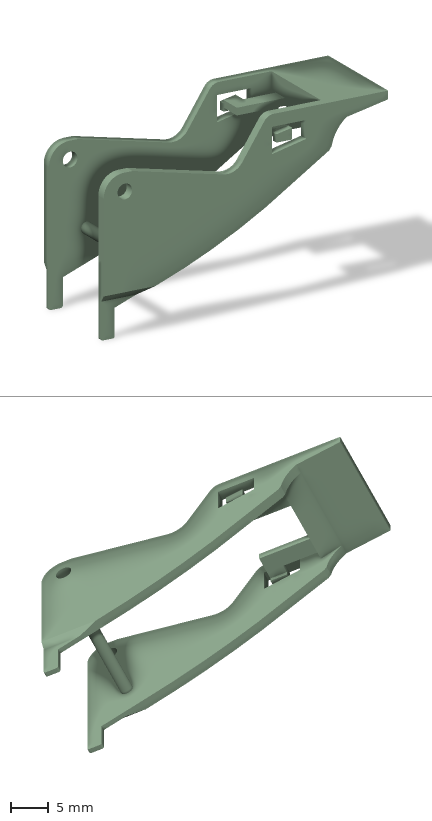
import cadquery as cq

WIDTH = 15.7
LENGTH = 43.9
HEIGHT = 27.5
WALL = 1.4
INNER_HALF = WIDTH / 2 - WALL

LIP_EDGE_Z = HEIGHT - 1.25
LIP_ROOT = (37.45, 24.95)
SCALLOP_MID = (36.05, 23.4)
SCALLOP_END = (35.15, 21.25)
HEEL = (34.8, 20.7)
BELLY_START = (25.02, 14.5)
BELLY_MID = (17.3, 10.35)
BELLY_END = (8.2, 6.6)
FOOT_LENGTH = 2.1
FOOT_TOP_Z = 4.3
FOOT_RADIUS = 0.25
PIVOT_TOP_Z = 23.45
PIVOT_RADIUS = 3.07
PIVOT_FLAT_END_Y = 4.45
VALLEY = (20.33, 19.95)
VALLEY_RADIUS = 2.75
SHOULDER_Y = 25.3
SHOULDER_RADIUS = 1.65

HOLE_Y, HOLE_Z = 3.25, 20.75
HOLE_DIAMETER = 2.25
ROD_Y, ROD_Z = 5.8, 10.62
ROD_DIAMETER = 1.75
FOOT_RECESS = 0.7
RECESS_TOP_Z = 6.5
RECESS_BOTTOM_Z = 5.55

BRIDGE_FRONT_Y = 34.35
BRIDGE_BOTTOM_Z = 23.7
WINDOW_FRONT_Y, WINDOW_REAR_Y = 25.95, 31.25
WINDOW_TOP_Z = 25.7
WINDOW_FRONT_Z, WINDOW_REAR_Z = 21.8, 23.0
ARM_TOP_Z = 24.8
ARM_GAP = 1.1
ARM_WIDTH = 2.4
LATCH_FRONT_Y, LATCH_REAR_Y = 26.9, 29.33
LUG_REACH = 0.95
LUG_BOTTOM_Z = 23.15
LUG_FRONT_TOP_Z = 24.3


def along_x(sketch, x_start, x_end):
    """Extrude a closed YZ outline between two X positions."""
    return sketch.extrude(x_end - x_start).translate((x_start, 0, 0))


def polygon(points):
    return cq.Workplane("YZ").polyline(points).close()


def box(x_range, y_range, z_range):
    size = [end - start for start, end in (x_range, y_range, z_range)]
    corner = (x_range[0], y_range[0], z_range[0])
    return cq.Workplane("XY").box(*size, centered=False).translate(corner)


def rounded(body, y, z, radius):
    """Round the X-direction edge that passes through (y, z)."""
    edge = cq.selectors.NearestToPointSelector((INNER_HALF + WALL / 2, y, z))
    return body.edges("|X").edges(edge).fillet(radius)


def make_wall():
    outline = (
        cq.Workplane("YZ")
        .moveTo(LENGTH, HEIGHT)
        .lineTo(LENGTH, LIP_EDGE_Z)
        .lineTo(*LIP_ROOT)
        .threePointArc(SCALLOP_MID, SCALLOP_END)
        .lineTo(*HEEL)
        .lineTo(*BELLY_START)
        .threePointArc(BELLY_MID, BELLY_END)
        .lineTo(FOOT_LENGTH, FOOT_TOP_Z)
        .lineTo(FOOT_LENGTH, 0)
        .lineTo(0, 0)
        .lineTo(0, PIVOT_TOP_Z)
        .lineTo(PIVOT_FLAT_END_Y, PIVOT_TOP_Z)
        .lineTo(*VALLEY)
        .lineTo(SHOULDER_Y, HEIGHT)
        .close()
    )
    wall = along_x(outline, INNER_HALF, WIDTH / 2)
    wall = rounded(wall, 0, PIVOT_TOP_Z, PIVOT_RADIUS)
    wall = rounded(wall, *VALLEY, VALLEY_RADIUS)
    wall = rounded(wall, SHOULDER_Y, HEIGHT, SHOULDER_RADIUS)
    for foot_y in (0, FOOT_LENGTH):
        wall = rounded(wall, foot_y, 0, FOOT_RADIUS)

    hole = cq.Workplane("YZ").center(HOLE_Y, HOLE_Z).circle(HOLE_DIAMETER / 2)
    window = polygon([
        (WINDOW_FRONT_Y, WINDOW_TOP_Z),
        (WINDOW_REAR_Y, WINDOW_TOP_Z),
        (WINDOW_REAR_Y, WINDOW_REAR_Z),
        (WINDOW_FRONT_Y, WINDOW_FRONT_Z),
    ])
    for opening in (hole, window):
        wall = wall.cut(along_x(opening, INNER_HALF, WIDTH / 2))

    recess_x = WIDTH / 2 - FOOT_RECESS
    recess = (
        cq.Workplane("XZ")
        .polyline([
            (WIDTH / 2, RECESS_TOP_Z),
            (recess_x, RECESS_BOTTOM_Z),
            (recess_x, 0),
            (WIDTH / 2, 0),
        ])
        .close()
        .extrude(-LENGTH)
    )
    return wall.cut(recess)


def make_latch():
    """Arm from the bridge, turned outward into a lug inside the window."""
    arm_outer = INNER_HALF - ARM_GAP
    arm_inner = arm_outer - ARM_WIDTH
    arm_z = (BRIDGE_BOTTOM_Z, ARM_TOP_Z)
    arm = box((arm_inner, arm_outer), (LATCH_FRONT_Y, BRIDGE_FRONT_Y), arm_z)
    toe = box((arm_inner, INNER_HALF), (LATCH_FRONT_Y, LATCH_REAR_Y), arm_z)
    lug = polygon([
        (LATCH_FRONT_Y, LUG_BOTTOM_Z),
        (LATCH_REAR_Y, LUG_BOTTOM_Z),
        (LATCH_REAR_Y, ARM_TOP_Z),
        (LATCH_FRONT_Y, LUG_FRONT_TOP_Z),
    ])
    return arm.union(toe).union(along_x(lug, INNER_HALF, INNER_HALF + LUG_REACH))


def make_bridge():
    section = polygon([
        (LENGTH, HEIGHT),
        (LENGTH, LIP_EDGE_Z),
        LIP_ROOT,
        (BRIDGE_FRONT_Y, BRIDGE_BOTTOM_Z),
        (BRIDGE_FRONT_Y, HEIGHT),
    ])
    return along_x(section, -INNER_HALF, INNER_HALF)


def make_rod():
    section = cq.Workplane("YZ").center(ROD_Y, ROD_Z).circle(ROD_DIAMETER / 2)
    return along_x(section, -INNER_HALF, INNER_HALF)


result = make_bridge().union(make_rod())
for half in (make_wall(), make_latch()):
    result = result.union(half).union(half.mirror("YZ"))